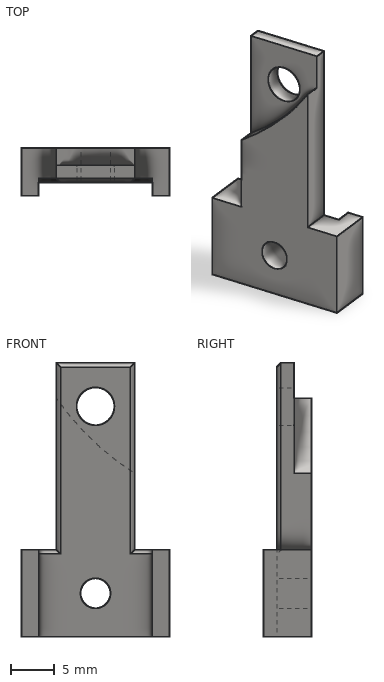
import cadquery as cq
import math

base_width = 17.0
base_height = 10.0
base_depth = 5.5

plate_thickness = 4.0
stem_width = 9.0
total_height = 31.41
edge_chamfer = 0.5

rail_width = 2.0

relief_depth = 2.0
relief_edge_height = 27.35
relief_radius = 32.0
relief_start_slope = 55.0

lower_hole_diameter = 3.4
lower_hole_height = base_height / 2
upper_hole_diameter = 4.3
upper_hole_height = 26.41

front_y = -plate_thickness


def centred_block(width, y_front, y_back, z_bottom, z_top):
    """Box centred on X between the given Y and Z limits."""
    depth = y_back - y_front
    height = z_top - z_bottom
    block = cq.Workplane("XY").box(width, depth, height, centered=(True, False, False))
    return block.translate((0, y_front, z_bottom))


def plate():
    """T-shaped plate with its front edges chamfered around the stem and shoulders."""
    lower = centred_block(base_width, front_y, 0, 0, base_height)
    stem = centred_block(stem_width, front_y, 0, 0, total_height)
    body = lower.union(stem)
    front_edges = body.faces("<Y").edges()
    shoulders_and_stem = front_edges.filter(lambda edge: edge.Center().z > base_height - edge_chamfer)
    return shoulders_and_stem.chamfer(edge_chamfer)


def rail(side):
    """Full-depth rail at one side of the base; side is -1 or +1."""
    x_centre = side * (base_width - rail_width) / 2
    return centred_block(rail_width, -base_depth, 0, 0, base_height).translate((x_centre, 0, 0))


def through_hole(diameter, height):
    """Cylinder along Y through the plate."""
    return cq.Workplane("XZ").center(0, height).circle(diameter / 2).extrude(plate_thickness)


def top_relief():
    """Cut into the stem's back face, open at the top, with a floor that sweeps down from -X to +X."""
    start_angle = math.radians(relief_start_slope)
    centre_x = -stem_width / 2 + relief_radius * math.sin(start_angle)
    centre_height = relief_edge_height + relief_radius * math.cos(start_angle)
    cutter = cq.Workplane("XZ").center(centre_x, centre_height).circle(relief_radius).extrude(relief_depth)
    stem_limits = centred_block(stem_width, -relief_depth, 0, base_height, total_height)
    return cutter.intersect(stem_limits)


result = plate()
for rail_side in (-1, 1):
    result = result.union(rail(rail_side))
result = result.cut(top_relief())
result = result.cut(through_hole(lower_hole_diameter, lower_hole_height))
result = result.cut(through_hole(upper_hole_diameter, upper_hole_height))